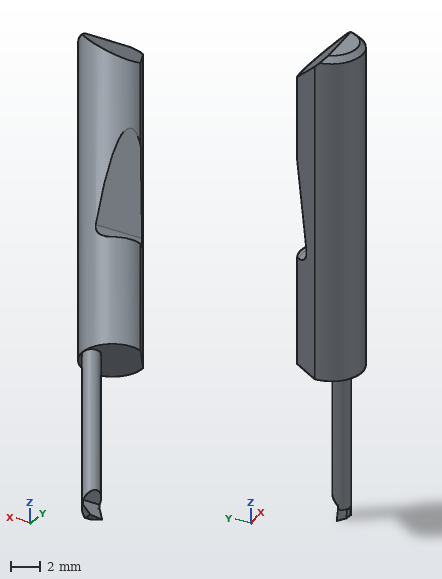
import cadquery as cq
import math

total_length = 38.1
shank_diameter = 4.75
shank_bottom = 12.73
shank_radius = shank_diameter / 2
top_chamfer = 0.42

flat_distance = 2.02
flat_normal_angle = 143.5

slope_start_y = -0.6

notch_bottom = 21.1
notch_top = 29.85
notch_floor_y = 0.95
notch_radius = 1.0

neck_diameter = 1.35
neck_radius = neck_diameter / 2
neck_x = shank_radius - neck_radius
rake_depth_z = 1.1
rake_runout_z = 1.75

tooth_height = 0.8
tip_x = 0.85
tooth_root_x = neck_x - neck_radius
heel_x = 1.8
heel_y = -0.6
flank_width = 0.5
end_relief_angle = 7.0
corner_start_z = 0.7

cut_size = 2 * shank_diameter


def make_shank():
    shank = (
        cq.Workplane("XY")
        .workplane(offset=shank_bottom)
        .circle(shank_radius)
        .extrude(total_length - shank_bottom)
        .faces(">Z")
        .chamfer(top_chamfer)
    )
    flat_cutter = (
        cq.Workplane("XY")
        .box(cut_size, cut_size, total_length, centered=(False, True, False))
        .translate((flat_distance, 0, 0))
        .rotate((0, 0, 0), (0, 0, 1), flat_normal_angle)
    )
    slope_cutter = (
        cq.Workplane("YZ")
        .moveTo(slope_start_y, total_length)
        .lineTo(slope_start_y + cut_size, total_length - cut_size)
        .lineTo(slope_start_y + cut_size, total_length)
        .close()
        .extrude(shank_diameter, both=True)
    )
    notch_overrun = 2 * (notch_top - notch_bottom)
    notch_outer_y = shank_radius + notch_overrun * (shank_radius - notch_floor_y) / (notch_top - notch_bottom)
    notch_cutter = (
        cq.Workplane("YZ")
        .moveTo(notch_floor_y, notch_bottom)
        .lineTo(notch_outer_y, notch_top + notch_overrun)
        .lineTo(notch_outer_y, notch_bottom)
        .close()
        .extrude(shank_diameter, both=True)
        .edges("|X and <Y")
        .fillet(notch_radius)
    )
    return shank.cut(flat_cutter).cut(slope_cutter).cut(notch_cutter)


def tooth_section(edge_x):
    """Horizontal tooth outline, with its cutting edge at edge_x on Y = 0."""
    return [(edge_x, 0), (edge_x + flank_width, -flank_width), (heel_x, heel_y), (heel_x, 0)]


def make_neck():
    neck = cq.Workplane("XY").center(neck_x, 0).circle(neck_radius).extrude(shank_bottom)

    tooth_space = (
        cq.Workplane("XY")
        .box(shank_diameter, shank_diameter, tooth_height, centered=(False, True, False))
        .translate((heel_x - shank_diameter, 0, 0))
    )
    tooth = (
        cq.Workplane("XY")
        .polyline(tooth_section(tip_x))
        .close()
        .workplane(offset=tooth_height)
        .polyline(tooth_section(tooth_root_x))
        .close()
        .loft(ruled=True)
    )
    neck = neck.cut(tooth_space).union(tooth)

    rake_cutter = (
        cq.Workplane("YZ")
        .moveTo(0, 0)
        .lineTo(0, rake_depth_z)
        .lineTo(neck_radius, rake_runout_z)
        .lineTo(neck_radius, 0)
        .close()
        .extrude(cut_size)
    )
    relief_rise = (shank_radius - tip_x) * math.tan(math.radians(end_relief_angle))
    relief_cutter = (
        cq.Workplane("XZ")
        .polyline([(tip_x, 0), (shank_radius, relief_rise), (shank_radius, 0)])
        .close()
        .extrude(neck_diameter, both=True)
    )
    corner_cutter = (
        cq.Workplane("XZ")
        .polyline([(shank_radius, corner_start_z), (shank_radius - corner_start_z, 0), (shank_radius, 0)])
        .close()
        .extrude(neck_diameter, both=True)
    )
    return neck.cut(rake_cutter).cut(relief_cutter).cut(corner_cutter)


result = make_shank().union(make_neck())